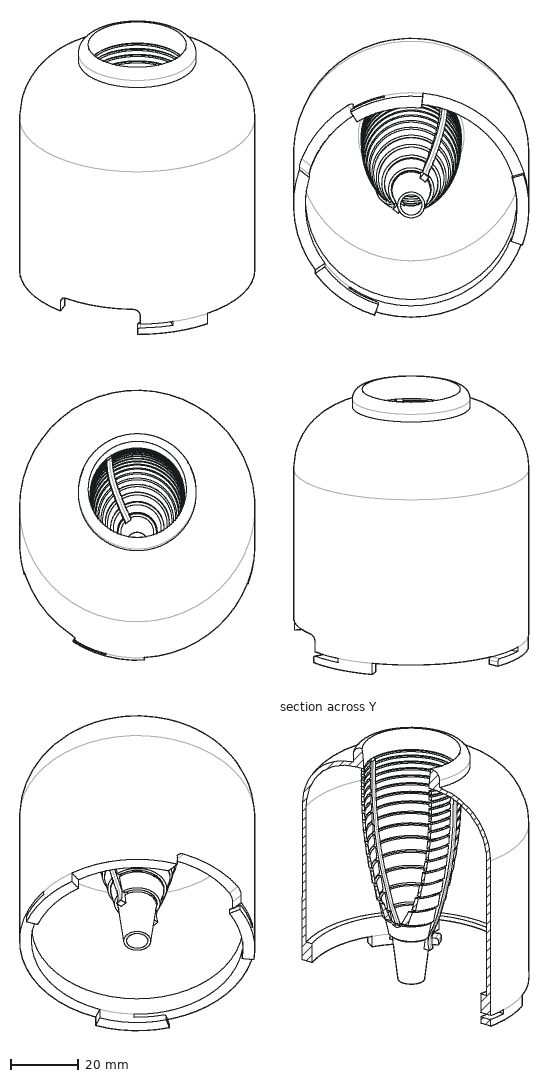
import cadquery as cq
import math

TOTAL_HEIGHT = 78.9
SHELL_DIAMETER = 70.0
INNER_DIAMETER = 66.9
SHELL_BOTTOM = 3.5
DOME_RADIUS = 19.25
DOME_START = 54.45

BAND_INNER_DIAMETER = 62.9
BAND_HEIGHT = 6.3

COLLAR_RADIUS = 17.5
RIM_ROUND = 2.9
THROAT_RADIUS = 14.05

NOTCH_WIDTH = 25.1
NOTCH_HEIGHT = 4.9
NOTCH_ROUND = 1.9

TAB_END_ANGLES = [69.8, 195.4, 326.4]
TAB_SPAN = 36.6
TAB_ROOT_SPAN = 19.0
LIP_HEIGHT = 2.2
LIP_ROUND = 0.9

RING_STEPS = 15
RING_WALL = 0.9
RING_GAP = 0.7
RING_BOTTOM_RADIUS = 4.9
RING_FLARE_POWER = 4
FIRST_RING_PITCH = 1.8
RING_PITCH_GROWTH = 1.09
RING_TAPER = 0.45
OUTLET_RADIUS = 3.15

RIB_THICKNESS = 2.0
RIB_INNER_REACH = 0.5
RIB_DEPTH = 2.4
RIB_FOOT = 3.15

SHELL_RADIUS = SHELL_DIAMETER / 2
INNER_RADIUS = INNER_DIAMETER / 2
BAND_INNER_RADIUS = BAND_INNER_DIAMETER / 2
SHELL_WALL = SHELL_RADIUS - INNER_RADIUS
DOME_CENTRE = SHELL_RADIUS - DOME_RADIUS
INNER_DOME_RADIUS = DOME_RADIUS - SHELL_WALL
ROOF_HEIGHT = DOME_START + INNER_DOME_RADIUS
FIRST_RING_TOP = ROOF_HEIGHT - RING_GAP
MOUTH_RADIUS = COLLAR_RADIUS - RIM_ROUND


def revolve(profile):
    """Spin an XZ profile about the Z axis."""
    return profile.close().revolve(360, (0, 0, 0), (0, 1, 0))


def arc_point(centre_x, centre_z, radius, angle):
    """Point on a circle, used to define an arc."""
    turn = math.radians(angle)
    return (centre_x + radius * math.cos(turn), centre_z + radius * math.sin(turn))


def make_shell():
    collar_base = DOME_START + math.sqrt(DOME_RADIUS**2 - (COLLAR_RADIUS - DOME_CENTRE) ** 2)
    dome_turn = math.degrees(math.acos((COLLAR_RADIUS - DOME_CENTRE) / DOME_RADIUS))
    rim_base = TOTAL_HEIGHT - RIM_ROUND
    band_top = SHELL_BOTTOM + BAND_HEIGHT
    throat_drop = TOTAL_HEIGHT - ROOF_HEIGHT
    throat_flare = MOUTH_RADIUS - THROAT_RADIUS
    throat_arc = (throat_drop**2 + throat_flare**2) / (2 * throat_flare)
    throat_turn = math.degrees(math.asin(throat_drop / throat_arc))
    profile = (
        cq.Workplane("XZ")
        .moveTo(BAND_INNER_RADIUS, SHELL_BOTTOM)
        .lineTo(SHELL_RADIUS, SHELL_BOTTOM)
        .lineTo(SHELL_RADIUS, DOME_START)
        .threePointArc(
            arc_point(DOME_CENTRE, DOME_START, DOME_RADIUS, dome_turn / 2),
            (COLLAR_RADIUS, collar_base),
        )
        .lineTo(COLLAR_RADIUS, rim_base)
        .threePointArc(
            arc_point(MOUTH_RADIUS, rim_base, RIM_ROUND, 45),
            (MOUTH_RADIUS, TOTAL_HEIGHT),
        )
        .threePointArc(
            arc_point(THROAT_RADIUS + throat_arc, ROOF_HEIGHT, throat_arc, 180 - throat_turn / 2),
            (THROAT_RADIUS, ROOF_HEIGHT),
        )
        .lineTo(DOME_CENTRE, ROOF_HEIGHT)
        .threePointArc(
            arc_point(DOME_CENTRE, DOME_START, INNER_DOME_RADIUS, 45),
            (INNER_RADIUS, DOME_START),
        )
        .lineTo(INNER_RADIUS, band_top)
        .lineTo(BAND_INNER_RADIUS, band_top)
    )
    return revolve(profile)


def make_notch():
    """Front opening with rounded upper corners."""
    return (
        cq.Workplane("XY")
        .box(NOTCH_WIDTH, SHELL_RADIUS, 2 * NOTCH_HEIGHT)
        .edges("|Y and >Z")
        .fillet(NOTCH_ROUND)
        .translate((0, -SHELL_RADIUS, SHELL_BOTTOM))
    )


def ring_sector(span, height):
    """Piece of the bottom band that runs clockwise from the +X axis."""
    section = (
        cq.Workplane("XZ")
        .moveTo(BAND_INNER_RADIUS, 0)
        .lineTo(SHELL_RADIUS, 0)
        .lineTo(SHELL_RADIUS, height)
        .lineTo(BAND_INNER_RADIUS, height)
        .close()
    )
    return section.revolve(span, (0, 0, 0), (0, -1, 0))


def make_tab(end_angle):
    lip = ring_sector(TAB_SPAN, LIP_HEIGHT)
    tip = math.radians(-TAB_SPAN)
    middle = (SHELL_RADIUS + BAND_INNER_RADIUS) / 2
    tip_edge = cq.selectors.NearestToPointSelector(
        (middle * math.cos(tip), middle * math.sin(tip), LIP_HEIGHT)
    )
    lip = lip.edges(tip_edge).fillet(LIP_ROUND)
    root = ring_sector(TAB_ROOT_SPAN, SHELL_BOTTOM)
    return lip.union(root).rotate((0, 0, 0), (0, 0, 1), end_angle)


def ring_radius(index):
    """Inner radius at the top of a ring; ring 0 is the highest."""
    shrink = THROAT_RADIUS - RING_BOTTOM_RADIUS
    return THROAT_RADIUS - shrink * (index / RING_STEPS) ** RING_FLARE_POWER


def ring_top(index):
    """Height of a ring's top edge; the pitch grows downwards."""
    drop = FIRST_RING_PITCH * (RING_PITCH_GROWTH**index - 1) / (RING_PITCH_GROWTH - 1)
    return FIRST_RING_TOP - drop


def make_ring(index):
    top_radius = ring_radius(index)
    top = ring_top(index)
    if index == RING_STEPS:
        bottom_radius = OUTLET_RADIUS
        bottom = SHELL_BOTTOM
    else:
        next_radius = ring_radius(index + 1)
        bottom_radius = next_radius + RING_TAPER * (top_radius - next_radius)
        bottom = ring_top(index + 1) + RING_GAP
    profile = (
        cq.Workplane("XZ")
        .moveTo(bottom_radius, bottom)
        .lineTo(bottom_radius + RING_WALL, bottom)
        .lineTo(top_radius + RING_WALL, top)
        .lineTo(top_radius, top)
    )
    return revolve(profile)


def make_rib():
    """Upright plate on the +X side that follows the stack of rings up to the roof."""
    foot = (RING_BOTTOM_RADIUS, ring_top(RING_STEPS) - RIB_FOOT)
    inner = [foot]
    for index in reversed(range(RING_STEPS + 1)):
        inner.append((ring_radius(index) - RIB_INNER_REACH, ring_top(index)))
    outer = [(radius + RIB_DEPTH, height) for radius, height in reversed(inner)]
    roof_level = ROOF_HEIGHT + SHELL_WALL / 2
    outline = (
        cq.Workplane("XZ")
        .moveTo(*foot)
        .spline(inner[1:], includeCurrent=True)
        .lineTo(THROAT_RADIUS + RIB_INNER_REACH, roof_level)
        .lineTo(THROAT_RADIUS + RIB_DEPTH, roof_level)
        .lineTo(*outer[0])
        .spline(outer[1:], includeCurrent=True)
        .close()
    )
    return outline.extrude(RIB_THICKNESS / 2, both=True)


rib = make_rib()
attachments = [make_tab(angle) for angle in TAB_END_ANGLES]
attachments += [rib, rib.rotate((0, 0, 0), (0, 0, 1), 180)]
attachments += [make_ring(index) for index in range(RING_STEPS + 1)]

body = make_shell().cut(make_notch())
for attachment in attachments:
    body = body.union(attachment, clean=False)

result = cq.Workplane(body.solids().val())